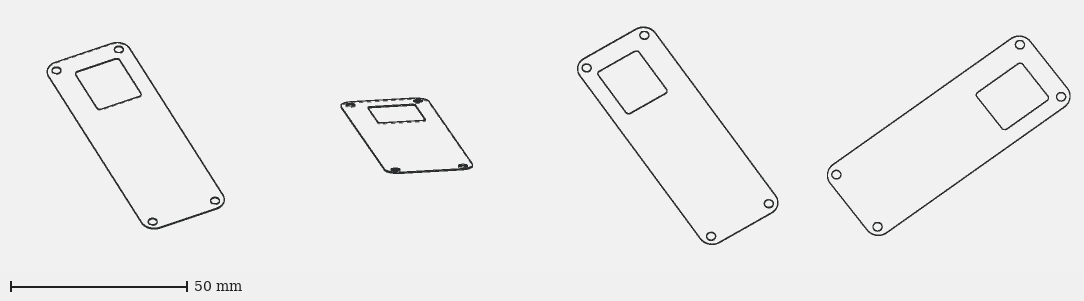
import cadquery as cq

length = 71.0
width = 25.5
thickness = 0.39
corner_radius = 4.0

hole_diameter = 2.55
hole_spacing_x = 65.1
hole_spacing_y = 19.5

window_length = 16.25
window_width = 13.8
window_corner_radius = 1.0
window_end_margin = 5.8
window_side_margin = 4.5

window_center_x = -length / 2 + window_end_margin + window_length / 2
window_center_y = width / 2 - window_side_margin - window_width / 2


def rounded_slab(slab_length, slab_width, radius):
    """Slab of the plate's thickness with rounded vertical edges."""
    slab = cq.Workplane("XY").box(slab_length, slab_width, thickness)
    return slab.edges("|Z").fillet(radius)


plate = rounded_slab(length, width, corner_radius)
window = rounded_slab(window_length, window_width, window_corner_radius)
plate = plate.cut(window.translate((window_center_x, window_center_y, 0)))

result = (
    plate.faces(">Z")
    .workplane(origin=(0, 0, 0))
    .rect(hole_spacing_x, hole_spacing_y, forConstruction=True)
    .vertices()
    .hole(hole_diameter)
)